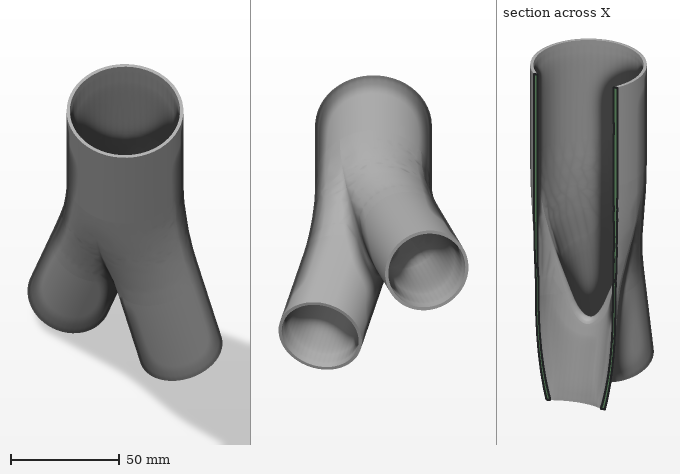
import cadquery as cq
import math

height = 169.2
wall = 1.5
overall_width = 98.5
inlet_diameter = 54.0
inlet_length = 51.0
leg_diameter = 39.5
leg_length = 50.8
leg_tilt = 15.0
outer_crotch_radius = 1.5
inner_crotch_radius = 3.0
crotch_tolerance = 0.2
crotch_top = 81.2
blend_sections = 9

inlet_radius = inlet_diameter / 2
leg_radius = leg_diameter / 2

tilt = math.radians(leg_tilt)
leg_up = cq.Vector(-math.sin(tilt), 0, math.cos(tilt))
leg_across = cq.Vector(math.cos(tilt), 0, math.sin(tilt))
leg_end_offset = overall_width / 2 - leg_radius * math.cos(tilt)
leg_end = cq.Vector(leg_end_offset, 0, leg_radius * math.sin(tilt))
leg_top = leg_end + leg_up * leg_length

inlet_up = cq.Vector(0, 0, 1)
inlet_across = cq.Vector(1, 0, 0)
inlet_bottom = cq.Vector(0, 0, height - inlet_length)
blend_span = (inlet_bottom - leg_top).Length


def blend_section(t, inset):
    """Elliptical section of the transition; t runs from 0 (leg) to 1 (inlet)."""
    inlet_share = 3 * t**2 - 2 * t**3
    leg_share = 1 - inlet_share
    leg_pull = blend_span * (t**3 - 2 * t**2 + t)
    inlet_pull = blend_span * (t**3 - t**2)
    centre = (leg_top * leg_share + inlet_bottom * inlet_share
              + leg_up * leg_pull + inlet_up * inlet_pull)
    across = (leg_across * (leg_radius - inset) * leg_share
              + inlet_across * (inlet_radius - inset) * inlet_share)
    half_depth = (leg_radius - inset) * leg_share + (inlet_radius - inset) * inlet_share
    normal = across.cross(cq.Vector(0, 1, 0))
    return cq.Wire.makeEllipse(across.Length, half_depth, centre, normal, across)


def body(inset, crotch_radius):
    """Solid Y shape shrunk inwards by inset, with its crotch rounded."""
    leg = cq.Workplane(cq.Solid.makeCylinder(leg_radius - inset, leg_length, leg_end, leg_up))
    steps = blend_sections - 1
    sections = [blend_section(i / steps, inset) for i in range(blend_sections)]
    transition = cq.Workplane(cq.Solid.makeLoft(sections))
    half_space = cq.Workplane().box(height, height, 2 * height, centered=(False, True, True))
    right_branch = leg.union(transition).intersect(half_space)
    both_branches = right_branch.union(right_branch.mirror("YZ"))
    below = cq.Workplane().box(2 * height, 2 * height, crotch_top, centered=(True, True, False))
    crotch = cq.selectors.BoxSelector(
        (-crotch_tolerance, -height, 0),
        (crotch_tolerance, height, crotch_top - crotch_tolerance),
    )
    rounded_legs = both_branches.intersect(below).edges(crotch).fillet(crotch_radius)
    inlet = cq.Solid.makeCylinder(inlet_radius - inset, inlet_length, inlet_bottom, inlet_up)
    return both_branches.cut(below).union(rounded_legs).union(inlet)


outside = body(0, outer_crotch_radius)
inside = body(wall, inner_crotch_radius)
result = outside.cut(inside)